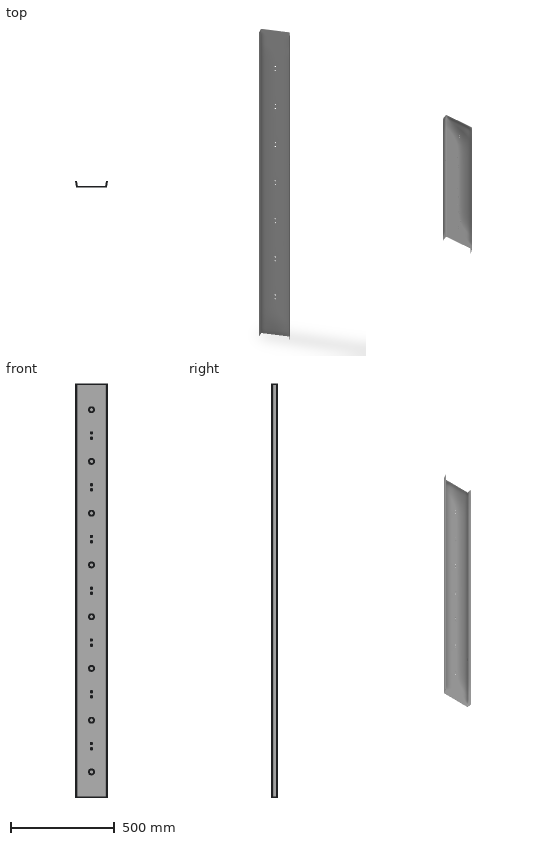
import cadquery as cq
import math

WIDTH = 150.0
DEPTH = 24.8
LENGTH = 1996.0

THICKNESS = 1.5
FLANGE_TILT = math.radians(10)
INNER_BEND_RADIUS = THICKNESS

PITCH = 250.0
KNOCKOUT_COUNT = 8
KNOCKOUT_OUTER_DIAMETER = 25.0
KNOCKOUT_INNER_DIAMETER = 24.0
KNOCKOUT_GROOVE_DEPTH = 0.5
SMALL_HOLE_DIAMETER = 7.0
SMALL_HOLE_SPACING = 25.0

FRONT = -DEPTH / 2
BACK = DEPTH / 2


def sheet_centreline():
    """Centreline of the sheet in the XY plane, from the left flange tip to the right one."""
    tip_x = WIDTH / 2 - THICKNESS / 2
    tip_y = BACK - THICKNESS / 2
    web_y = FRONT + THICKNESS / 2
    bend_radius = INNER_BEND_RADIUS + THICKNESS / 2
    corner_x = tip_x - (tip_y - web_y) * math.tan(FLANGE_TILT)

    bend_angle = math.pi / 2 - FLANGE_TILT
    tangent_length = bend_radius * math.tan(bend_angle / 2)
    web_end_x = corner_x - tangent_length
    arc_mid_x = web_end_x + bend_radius * math.sin(bend_angle / 2)
    arc_mid_y = web_y + bend_radius * (1 - math.cos(bend_angle / 2))
    flange_start_x = corner_x + tangent_length * math.sin(FLANGE_TILT)
    flange_start_y = web_y + tangent_length * math.cos(FLANGE_TILT)

    return (
        cq.Workplane("XY", origin=(0, 0, -LENGTH / 2))
        .moveTo(-tip_x, tip_y)
        .lineTo(-flange_start_x, flange_start_y)
        .threePointArc((-arc_mid_x, arc_mid_y), (-web_end_x, web_y))
        .lineTo(web_end_x, web_y)
        .threePointArc((arc_mid_x, arc_mid_y), (flange_start_x, flange_start_y))
        .lineTo(tip_x, tip_y)
        .wire()
    )


def channel():
    """Channel along Z: web on the -Y side, flanges leaning outward with rounded tips."""
    return sheet_centreline().offset2D(THICKNESS / 2, "arc").extrude(LENGTH)


def front_cylinders(diameter, depth, heights):
    """Cylinders on the web centreline, sunk from the front face toward +Y."""
    return (
        cq.Workplane("XZ", origin=(0, FRONT, 0))
        .pushPoints([(0, z) for z in heights])
        .circle(diameter / 2)
        .extrude(-depth)
    )


def knockout_grooves(heights):
    """Shallow ring grooves in the front face, each outlining a round knockout."""
    outer = front_cylinders(KNOCKOUT_OUTER_DIAMETER, KNOCKOUT_GROOVE_DEPTH, heights)
    inner = front_cylinders(KNOCKOUT_INNER_DIAMETER, KNOCKOUT_GROOVE_DEPTH, heights)
    return outer.cut(inner)


def small_holes(heights):
    """Holes right through the web."""
    return front_cylinders(SMALL_HOLE_DIAMETER, THICKNESS, heights)


first_knockout_z = -PITCH * (KNOCKOUT_COUNT - 1) / 2
knockout_heights = [first_knockout_z + i * PITCH for i in range(KNOCKOUT_COUNT)]

small_hole_heights = []
for knockout_z in knockout_heights[:-1]:
    pair_centre = knockout_z + PITCH / 2
    small_hole_heights.append(pair_centre - SMALL_HOLE_SPACING / 2)
    small_hole_heights.append(pair_centre + SMALL_HOLE_SPACING / 2)

result = channel().cut(knockout_grooves(knockout_heights)).cut(small_holes(small_hole_heights))